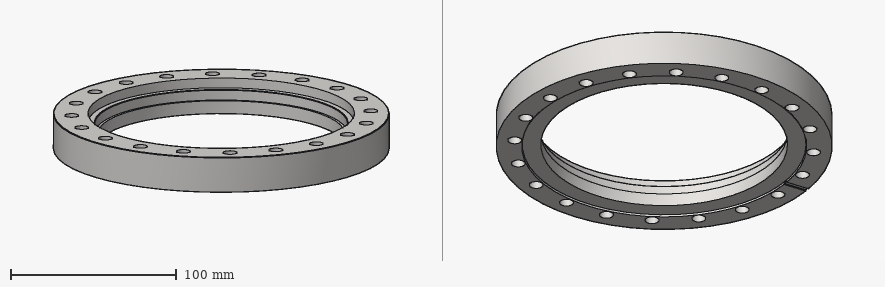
import cadquery as cq

OUTER_DIAMETER = 203.0
THICKNESS = 22.0
LIP_DIAMETER = 161.0
LIP_HEIGHT = 6.0
SEAT_DIAMETER = 172.1
RIM_CHAMFER = 0.5

BOLT_COUNT = 20
BOLT_CIRCLE_DIAMETER = 181.0
BOLT_HOLE_DIAMETER = 8.3
BOLT_PITCH = 360 / BOLT_COUNT

GROOVE_WIDTH = 3.2
GROOVE_DEPTH = 0.8

INSERT_DIAMETER = 171.3
INSERT_BOTTOM = 1.2
INSERT_TOP = THICKNESS - LIP_HEIGHT
BORE_DIAMETER = 149.0
SOCKET_DIAMETER = 152.7
SOCKET_DEPTH = 6.5
SOCKET_CHAMFER = 0.5


def make_bolt_ring():
    """Ring with bolt holes, a seat below its lip and a leak-check groove."""
    ring = cq.Workplane("XY").circle(OUTER_DIAMETER / 2).extrude(THICKNESS)
    ring = ring.faces(">Z").edges().chamfer(RIM_CHAMFER)

    lip_bore = cq.Workplane("XY").circle(LIP_DIAMETER / 2).extrude(THICKNESS)
    seat = cq.Workplane("XY").circle(SEAT_DIAMETER / 2).extrude(INSERT_TOP)
    ring = ring.cut(lip_bore).cut(seat)

    bolt_holes = (
        cq.Workplane("XY")
        .polarArray(BOLT_CIRCLE_DIAMETER / 2, BOLT_PITCH / 2, 360, BOLT_COUNT)
        .circle(BOLT_HOLE_DIAMETER / 2)
        .extrude(THICKNESS)
    )
    groove = cq.Workplane("XY").box(
        OUTER_DIAMETER / 2, GROOVE_WIDTH, GROOVE_DEPTH, centered=(False, True, False)
    )
    groove = groove.translate((-OUTER_DIAMETER / 2, 0, 0))
    return ring.cut(bolt_holes).cut(groove)


def make_insert_ring():
    """Ring with a through bore and a chamfered socket in its top face."""
    ring = (
        cq.Workplane("XY", origin=(0, 0, INSERT_BOTTOM))
        .circle(INSERT_DIAMETER / 2)
        .circle(BORE_DIAMETER / 2)
        .extrude(INSERT_TOP - INSERT_BOTTOM)
    )
    socket = (
        cq.Workplane("XY", origin=(0, 0, INSERT_TOP - SOCKET_DEPTH))
        .circle(SOCKET_DIAMETER / 2)
        .extrude(SOCKET_DEPTH)
    )
    ring = ring.cut(socket)
    socket_rim = cq.selectors.RadiusNthSelector(0)
    return ring.faces(">Z").edges(socket_rim).chamfer(SOCKET_CHAMFER)


bolt_ring = make_bolt_ring()
insert_ring = make_insert_ring()

result = cq.Compound.makeCompound([bolt_ring.val(), insert_ring.val()])